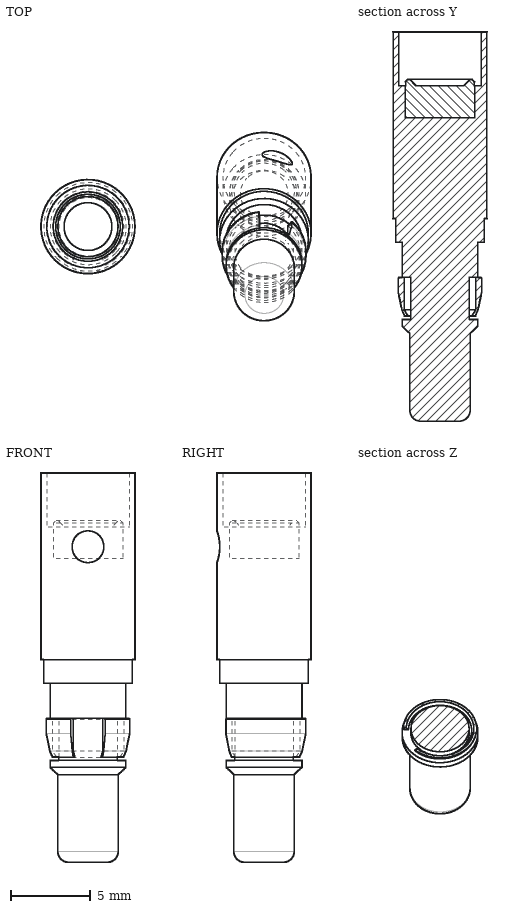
import cadquery as cq
import math

total_length = 24.6
barrel_bottom_z = 12.8
step_bottom_z = 11.3
groove_top_z = 9.1
clip_bottom_z = 6.65
groove_bottom_z = 6.45
collar_chamfer_z = 6.0
collar_bottom_z = 5.55

barrel_radius = 5.95 / 2
step_radius = 2.8
neck_radius = 2.4
groove_radius = 1.85
pin_radius = 1.92
pin_tip_fillet = 0.7

bore_radius = 2.6
bore_depth = 3.4
dent_radius = 1.0
dent_depth_below_top = 4.67

insert_radius = 2.19
insert_top_depth = 3.0
insert_chamfer = 0.15
insert_socket_depth = 2.0
dish_top_radius = 1.9
dish_floor_radius = 1.51
dish_depth = 0.4

clip_radius = 2.65
clip_inner_radius = 2.25
clip_top_chamfer = 0.06
clip_band_height = 0.95
clip_taper_height = 1.1
clip_taper_radius = 2.42
clip_bottom_radius = 2.25
clip_bottom_inner_radius = 2.0
slot_half_angle = 24.3


def revolve_profile(profile):
    """Turn a closed (radius, height) profile about the Z axis."""
    return profile.close().revolve(360, (0, 0, 0), (0, 1, 0))


def make_dent_cutter():
    """Cylinder along X that bites a round dent into the -Y side of the barrel."""
    dent_floor_y = -math.sqrt(barrel_radius**2 - dent_radius**2)
    return (
        cq.Workplane("YZ")
        .center(dent_floor_y - barrel_radius, total_length - dent_depth_below_top)
        .circle(barrel_radius)
        .extrude(barrel_radius, both=True)
    )


def make_insert():
    """Round plug with a chamfered rim and a dished top."""
    top_z = total_length - insert_top_depth
    bottom_z = total_length - bore_depth - insert_socket_depth
    return revolve_profile(
        cq.Workplane("XZ")
        .moveTo(0, bottom_z)
        .lineTo(insert_radius, bottom_z)
        .lineTo(insert_radius, top_z - insert_chamfer)
        .lineTo(insert_radius - insert_chamfer, top_z)
        .lineTo(dish_top_radius, top_z)
        .lineTo(dish_floor_radius, top_z - dish_depth)
        .lineTo(0, top_z - dish_depth)
    )


def make_contact():
    """Turned contact: bored barrel, stepped neck, clip groove, collar and pin."""
    bore_floor_z = total_length - bore_depth
    tip_arc_offset = pin_tip_fillet * (1 - math.sqrt(0.5))
    body = revolve_profile(
        cq.Workplane("XZ")
        .moveTo(0, 0)
        .lineTo(pin_radius - pin_tip_fillet, 0)
        .threePointArc((pin_radius - tip_arc_offset, tip_arc_offset), (pin_radius, pin_tip_fillet))
        .lineTo(pin_radius, collar_bottom_z)
        .lineTo(neck_radius, collar_chamfer_z)
        .lineTo(neck_radius, groove_bottom_z)
        .lineTo(groove_radius, groove_bottom_z)
        .lineTo(groove_radius, groove_top_z)
        .lineTo(neck_radius, groove_top_z)
        .lineTo(neck_radius, step_bottom_z)
        .lineTo(step_radius, step_bottom_z)
        .lineTo(step_radius, barrel_bottom_z)
        .lineTo(barrel_radius, barrel_bottom_z)
        .lineTo(barrel_radius, total_length)
        .lineTo(bore_radius, total_length)
        .lineTo(bore_radius, bore_floor_z)
        .lineTo(insert_radius, bore_floor_z)
        .lineTo(insert_radius, bore_floor_z - insert_socket_depth)
        .lineTo(0, bore_floor_z - insert_socket_depth)
    )
    return body.cut(make_dent_cutter())


def make_slot_cutter():
    """Wedge from the axis through the -Y side of the clip, so the slot has radial sides."""
    far_y = -2 * clip_radius
    far_half_width = -far_y * math.tan(math.radians(slot_half_angle))
    return (
        cq.Workplane("XY")
        .workplane(offset=clip_bottom_z)
        .lineTo(-far_half_width, far_y)
        .lineTo(far_half_width, far_y)
        .close()
        .extrude(groove_top_z - clip_bottom_z)
    )


def make_clip():
    """C-shaped ring in the groove, tapering downward and open on the -Y side."""
    band_bottom_z = groove_top_z - clip_band_height
    taper_bottom_z = band_bottom_z - clip_taper_height
    ring = revolve_profile(
        cq.Workplane("XZ")
        .moveTo(clip_inner_radius, groove_top_z)
        .lineTo(clip_inner_radius, taper_bottom_z)
        .lineTo(clip_bottom_inner_radius, clip_bottom_z)
        .lineTo(clip_bottom_radius, clip_bottom_z)
        .lineTo(clip_taper_radius, taper_bottom_z)
        .lineTo(clip_radius, band_bottom_z)
        .lineTo(clip_radius, groove_top_z - clip_top_chamfer)
        .lineTo(clip_radius - clip_top_chamfer, groove_top_z)
    )
    return ring.cut(make_slot_cutter())


contact = make_contact()
insert = make_insert()
clip = make_clip()

result = cq.Compound.makeCompound([contact.val(), insert.val(), clip.val()])